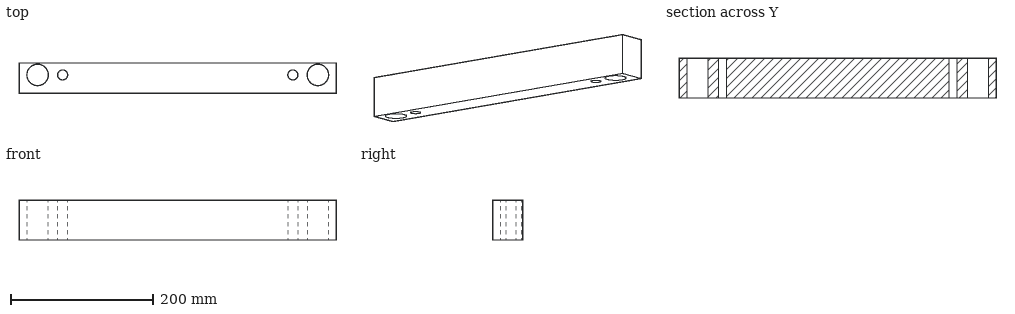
import cadquery as cq

length = 446.0
width = 43.0
height = 56.0

large_diameter = 30.0
large_offset = 197.0
small_diameter = 14.0
small_offset = 162.0
hole_line_y = 4.5


def drill_pair(body, diameter, offset):
    """Drill two vertical through holes at equal distances from mid-length."""
    centers = [(side * offset, hole_line_y) for side in (-1, 1)]
    return body.faces(">Z").workplane(origin=(0, 0, height)).pushPoints(centers).hole(diameter)


bar = cq.Workplane("XY").box(length, width, height, centered=(True, True, False))
bar = drill_pair(bar, large_diameter, large_offset)
result = drill_pair(bar, small_diameter, small_offset)